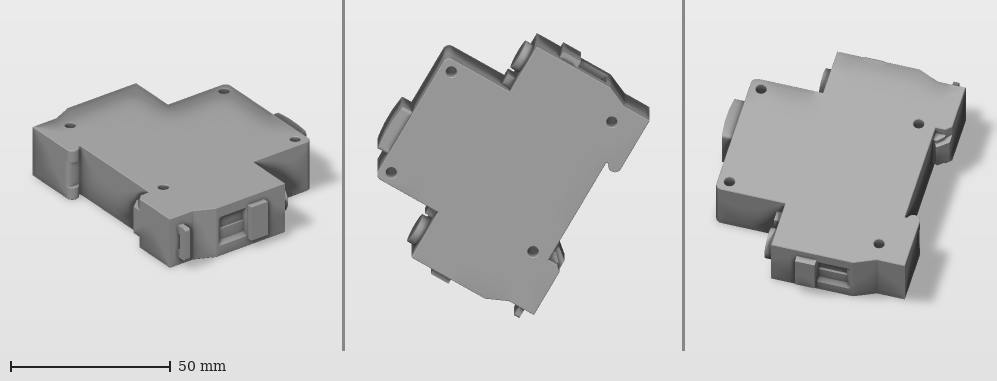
import cadquery as cq
import math

thickness = 17.8
edge_chamfer = 0.21
body_half_width = 39.35
foot_half_width = 36.3
neck_half_width = 22.5
neck_top = 65.5
shoulder_y = 42.6
side_bottom_y = 15.9
foot_top_y = 9.05
neck_corner_radius = 2.1

rail_floor_y = 5.0
rail_left_x = -17.8
rail_right_x = 18.6
nose_radius = 2.15
nose_center_x = -18.3
rail_bevel_height = 1.75
rail_bevel_end_x = 20.25

notch_width = 9.3
notch_start_x = -19.2
notch_radius = 1.7

hole_diameter = 3.4
hole_centers = [(-18.8, 61.7), (18.75, 61.7), (-30.0, 10.05), (18.7, 10.45)]

plate_outer_x = 41.5
plate_bottom_y = 27.9
plate_top_y = 34.3
plate_width = 11.95
pocket_bottom_y = 16.8
pocket_top_y = 27.7
pocket_width = 10.3
pocket_depth = 1.25
pocket_corner_radius = 1.25
pocket_floor_bottom_y = 18.3
pocket_floor_top_y = 27.4
pocket_floor_width = 7.6
pocket_step_depth = 0.8

shoulder_part_height = 2.7
screw_diameter = 9.8
screw_x = 32.4
block_outer_x = 26.0
block_width = 7.4

button_center_x = 6.8
button_length = 15.6
button_width = 14.1
button_edge_y = 69.05
button_top_y = 69.7
button_corner_radius = 1.0

clip_center_z = -0.2
clip_width = 9.5
clip_shoulder_width = 12.45
hook_tip_x = 14.4
hook_tip_low_y = 3.3
hook_tip_high_y = 3.7
hook_end_x = 17.2
clip_shoulder_x = 15.8
clip_shoulder_low_y = 3.7
clip_shoulder_end_x = 17.85

tab_end_x = 40.25
tab_bottom_y = 3.1
tab_top_y = 5.0
tab_width = 11.4
tab_corner_radius = 1.0
tab_slot_end_x = 37.5
tab_slot_width = 6.1
tab_slot_radius = 0.8


def box(x_range, y_range, z_range):
    """Box spanning the given ranges."""
    sizes = [high - low for low, high in (x_range, y_range, z_range)]
    return cq.Workplane("XY").box(*sizes, centered=False).translate((x_range[0], y_range[0], z_range[0]))


def centered(width, middle=0):
    """Range of the given width around its middle."""
    return (middle - width / 2, middle + width / 2)


def extruded(points, width, middle):
    """Polygon in XY extruded along Z around its middle."""
    return cq.Workplane("XY", origin=(0, 0, middle)).polyline(points).close().extrude(width / 2, both=True)


def with_mirror(shape):
    """A shape together with its copy on the other side of the YZ plane."""
    return shape.union(shape.mirror("YZ"))


def make_housing():
    nose_end_y = nose_radius + math.sqrt(nose_radius**2 - (rail_left_x - nose_center_x) ** 2)
    outline = (
        cq.Workplane("XY")
        .moveTo(-foot_half_width, 0)
        .lineTo(nose_center_x, 0)
        .threePointArc((nose_center_x + nose_radius, nose_radius), (rail_left_x, nose_end_y))
        .lineTo(rail_left_x, rail_floor_y)
        .lineTo(rail_right_x, rail_floor_y)
        .lineTo(rail_right_x, rail_bevel_height)
        .lineTo(rail_bevel_end_x, 0)
        .lineTo(foot_half_width, 0)
        .lineTo(foot_half_width, foot_top_y)
        .lineTo(body_half_width, side_bottom_y)
        .lineTo(body_half_width, shoulder_y)
        .lineTo(neck_half_width, shoulder_y)
        .lineTo(neck_half_width, neck_top)
        .lineTo(-neck_half_width, neck_top)
        .lineTo(-neck_half_width, shoulder_y)
        .lineTo(-body_half_width, shoulder_y)
        .lineTo(-body_half_width, side_bottom_y)
        .lineTo(-foot_half_width, foot_top_y)
        .close()
    )
    housing = outline.extrude(thickness / 2, both=True)
    housing = housing.edges("|Z and >Y").fillet(neck_corner_radius)
    holes = cq.Workplane("XY").pushPoints(hole_centers).circle(hole_diameter / 2).extrude(thickness, both=True)
    return housing.cut(holes).faces("<Z or >Z").edges().chamfer(edge_chamfer)


def make_nose_notch():
    """Space in front of a narrower rounded nose that is set back from the main one."""
    wall_x = notch_start_x + notch_radius
    clear_x = nose_center_x + 2 * nose_radius
    arc_middle = (
        notch_start_x + notch_radius * math.sin(math.pi / 4),
        notch_radius * (1 - math.cos(math.pi / 4)),
    )
    return (
        cq.Workplane("XY")
        .moveTo(notch_start_x, 0)
        .threePointArc(arc_middle, (wall_x, notch_radius))
        .lineTo(wall_x, rail_floor_y)
        .lineTo(clear_x, rail_floor_y)
        .lineTo(clear_x, 0)
        .close()
        .extrude(notch_width / 2, both=True)
    )


def make_left_pocket():
    """Tapered pocket whose upper half is one step deeper."""
    mouth_middle = (pocket_bottom_y + pocket_top_y) / 2
    floor_middle = (pocket_floor_bottom_y + pocket_floor_top_y) / 2
    pocket = (
        cq.Workplane("YZ", origin=(-body_half_width, 0, 0))
        .center(mouth_middle, 0)
        .rect(pocket_top_y - pocket_bottom_y, pocket_width)
        .workplane(offset=pocket_depth)
        .center(floor_middle - mouth_middle, 0)
        .rect(pocket_floor_top_y - pocket_floor_bottom_y, pocket_floor_width)
        .loft(combine=True)
    )
    pocket = pocket.edges("not(#X)").edges("<Y").fillet(pocket_corner_radius)
    floor_x = -body_half_width + pocket_depth
    step = box(
        (floor_x, floor_x + pocket_step_depth),
        (pocket_floor_bottom_y, pocket_floor_top_y),
        (0, pocket_floor_width / 2),
    )
    return pocket.union(step)


def make_side_plates():
    plate_x = (body_half_width, plate_outer_x)
    return with_mirror(box(plate_x, (plate_bottom_y, plate_top_y), centered(plate_width)))


def make_terminals():
    screw = (
        cq.Workplane("XZ", origin=(screw_x, shoulder_y, 0))
        .circle(screw_diameter / 2)
        .extrude(-shoulder_part_height)
    )
    block_y = (shoulder_y, shoulder_y + shoulder_part_height)
    block = box((neck_half_width, block_outer_x), block_y, centered(block_width))
    return with_mirror(screw.union(block))


def make_button():
    left, right = centered(button_length, button_center_x)
    button = (
        cq.Workplane("XY")
        .moveTo(left, neck_top)
        .lineTo(left, button_edge_y)
        .threePointArc((button_center_x, button_top_y), (right, button_edge_y))
        .lineTo(right, neck_top)
        .close()
        .extrude(button_width / 2, both=True)
    )
    return button.edges("|Y").fillet(button_corner_radius)


def make_clip():
    """Hook that reaches into the rail recess, with a wider shoulder behind it."""
    hook = [
        (hook_tip_x, hook_tip_low_y),
        (hook_tip_x, hook_tip_high_y),
        (hook_end_x, rail_floor_y),
        (rail_bevel_end_x, rail_floor_y),
        (rail_bevel_end_x, 0),
        (hook_end_x, 0),
    ]
    shoulder = [
        (clip_shoulder_x, rail_floor_y),
        (clip_shoulder_x, clip_shoulder_low_y),
        (clip_shoulder_end_x, rail_bevel_height),
        (rail_right_x, rail_bevel_height),
        (rail_right_x, rail_floor_y),
    ]
    wide_shoulder = extruded(shoulder, clip_shoulder_width, clip_center_z)
    return extruded(hook, clip_width, clip_center_z).union(wide_shoulder)


def make_pull_tab():
    """Tab beside the right foot with a finger slot along Y."""
    tab_y = (tab_bottom_y, tab_top_y)
    tab = box((foot_half_width, tab_end_x), tab_y, centered(tab_width))
    tab = tab.edges("|Y and >X").fillet(tab_corner_radius)
    slot = box((foot_half_width, tab_slot_end_x), tab_y, centered(tab_slot_width))
    slot = slot.edges("|Y and >X").fillet(tab_slot_radius)
    return tab.cut(slot)


result = make_housing().cut(make_nose_notch()).cut(with_mirror(make_left_pocket()))
for addition in (make_side_plates(), make_terminals(), make_button(), make_clip(), make_pull_tab()):
    result = result.union(addition)